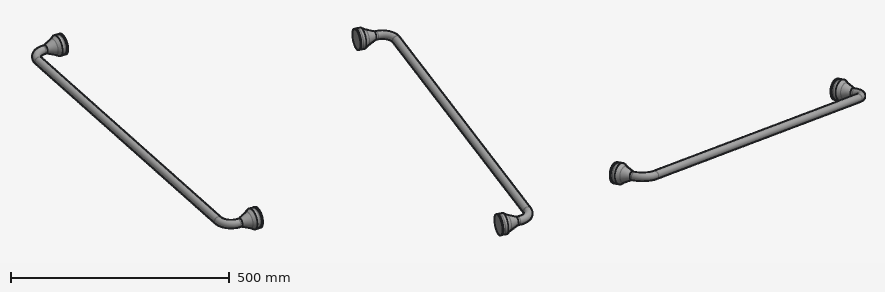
import cadquery as cq

length = 930.0
depth = 95.0
flange_diameter = 50.0
tube_diameter = 20.0

backplate_thickness = 3.0
groove_depth = 1.4
groove_end_station = 7.0
rim_thickness = 15.0
shoulder_station = 24.0
shoulder_radius = 19.5
neck_station = 46.0
bend_radius = 34.0

flange_radius = flange_diameter / 2
tube_radius = tube_diameter / 2
post_x = length / 2 - flange_radius
bar_y = tube_radius - depth
bend_start_y = bar_y + bend_radius
bar_end_x = post_x - bend_radius


def make_mount():
    """Flange with a shallow tapered groove and a conical neck, revolved about the Y axis."""
    return (
        cq.Workplane("XY")
        .lineTo(flange_radius, 0)
        .lineTo(flange_radius, -backplate_thickness)
        .lineTo(flange_radius - groove_depth, -backplate_thickness)
        .lineTo(flange_radius, -groove_end_station)
        .lineTo(flange_radius, -rim_thickness)
        .lineTo(shoulder_radius, -shoulder_station)
        .lineTo(tube_radius, -neck_station)
        .lineTo(tube_radius, bend_start_y)
        .lineTo(0, bend_start_y)
        .close()
        .revolve(360, (0, 0, 0), (0, 1, 0))
        .translate((post_x, 0, 0))
    )


def make_bend():
    """Quarter-turn elbow from the mount to the bar."""
    return (
        cq.Workplane("XZ", origin=(post_x, bend_start_y, 0))
        .circle(tube_radius)
        .revolve(90, (-bend_radius, 0, 0), (-bend_radius, -1, 0))
    )


result = cq.Workplane("YZ", origin=(-bar_end_x, bar_y, 0)).circle(tube_radius).extrude(2 * bar_end_x)

bracket = make_mount().union(make_bend())
result = result.union(bracket).union(bracket.mirror("YZ"))